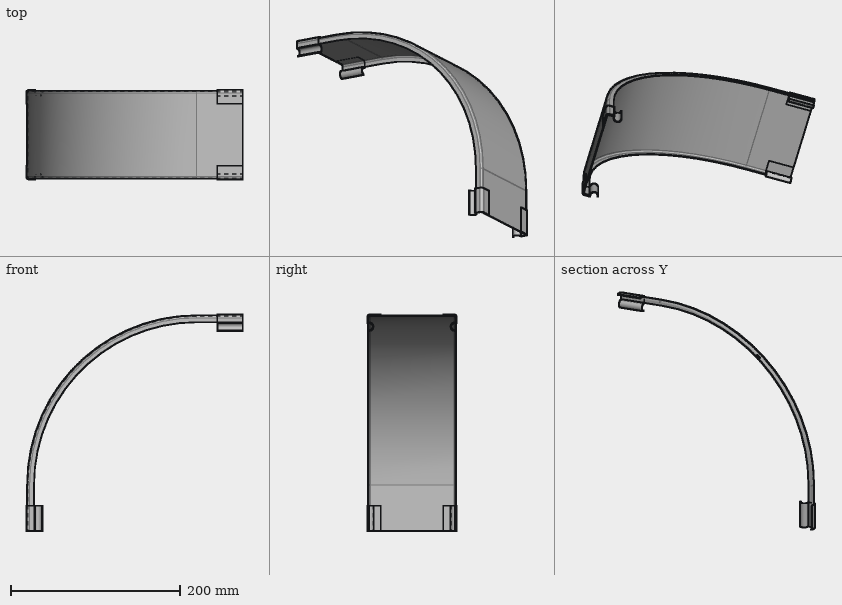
import cadquery as cq
import math

SIZE = 256.5
WIDTH = 106.5
SHEET = 1.0

STRAIGHT = 55.0
COVER_DEPTH = 8.5
COVER_EDGE_RADIUS = 2.8
BEND_RADIUS = SIZE - SHEET - STRAIGHT
COVER_WIDTH = WIDTH - 2 * SHEET

CLIP_LENGTH = 30.3
CLIP_FLAP = 16.5
CLIP_EDGE_RADIUS = COVER_EDGE_RADIUS + SHEET
LIP_DEPTH = SHEET + COVER_DEPTH
HOOK_RADIUS = 4.0
HOOK_OUTER_RADIUS = HOOK_RADIUS + SHEET
HOOK_INSET = 2.5

HALF = SIZE / 2
DIAGONAL = math.sqrt(0.5)


def bent_slab(offset):
    """Bent slab of the cover, pulled in by offset on its outer face and sides."""
    outer = HALF - SHEET - offset
    inner = HALF - SHEET - COVER_DEPTH
    center = HALF - STRAIGHT
    outer_reach = (BEND_RADIUS - offset) * DIAGONAL
    inner_reach = (BEND_RADIUS - COVER_DEPTH) * DIAGONAL
    return (
        cq.Workplane("XZ")
        .moveTo(-outer, -HALF)
        .lineTo(-outer, -center)
        .threePointArc((center - outer_reach, outer_reach - center), (center, outer))
        .lineTo(HALF, outer)
        .lineTo(HALF, inner)
        .lineTo(center, inner)
        .threePointArc((center - inner_reach, inner_reach - center), (-inner, -center))
        .lineTo(-inner, -HALF)
        .close()
        .extrude(COVER_WIDTH / 2 - offset, both=True)
    )


def round_outer_edges(slab, offset, radius):
    """Round both long edges of the slab's outer face."""
    side = COVER_WIDTH / 2 - offset
    outer = HALF - SHEET - offset
    edge = cq.selectors.NearestToPointSelector
    for y in (-side, side):
        slab = slab.edges(edge((HALF - STRAIGHT / 2, y, outer))).fillet(radius)
    return slab


def make_cover():
    shell = round_outer_edges(bent_slab(0), 0, COVER_EDGE_RADIUS)
    hollow = round_outer_edges(bent_slab(SHEET), SHEET, COVER_EDGE_RADIUS - SHEET)
    return shell.cut(hollow)


def make_clip():
    """Clip on the -Y edge at the +X end of the upper leg."""
    side = -WIDTH / 2
    top = HALF
    hook_y = side + HOOK_INSET
    hook_z = top - LIP_DEPTH - HOOK_OUTER_RADIUS
    outer_corner = CLIP_EDGE_RADIUS * (1 - DIAGONAL)
    inner_corner = SHEET + COVER_EDGE_RADIUS * (1 - DIAGONAL)
    return (
        cq.Workplane("YZ", origin=(HALF - CLIP_LENGTH, 0, 0))
        .moveTo(side + CLIP_FLAP, top)
        .lineTo(side + CLIP_EDGE_RADIUS, top)
        .threePointArc((side + outer_corner, top - outer_corner), (side, top - CLIP_EDGE_RADIUS))
        .lineTo(side, top - LIP_DEPTH - SHEET)
        .lineTo(hook_y, hook_z + HOOK_RADIUS)
        .threePointArc((hook_y + HOOK_RADIUS, hook_z), (hook_y, hook_z - HOOK_RADIUS))
        .lineTo(hook_y, hook_z - HOOK_OUTER_RADIUS)
        .threePointArc((hook_y + HOOK_OUTER_RADIUS, hook_z), (hook_y, hook_z + HOOK_OUTER_RADIUS))
        .lineTo(side + SHEET, top - LIP_DEPTH)
        .lineTo(side + SHEET, top - CLIP_EDGE_RADIUS)
        .threePointArc(
            (side + inner_corner, top - inner_corner),
            (side + CLIP_EDGE_RADIUS, top - SHEET),
        )
        .lineTo(side + CLIP_FLAP, top - SHEET)
        .close()
        .extrude(CLIP_LENGTH)
    )


def make_clips():
    """One clip on each edge of each leg; the legs mirror across the plane Z = -X."""
    upper_pair = [make_clip(), make_clip().mirror("XZ")]
    clips = []
    for clip in upper_pair:
        lower = clip.mirror("XY").rotate((0, 0, 0), (0, 1, 0), 90)
        clips += [clip.val(), lower.val()]
    return clips


cover = make_cover()
result = cq.Compound.makeCompound([cover.val(), *make_clips()])